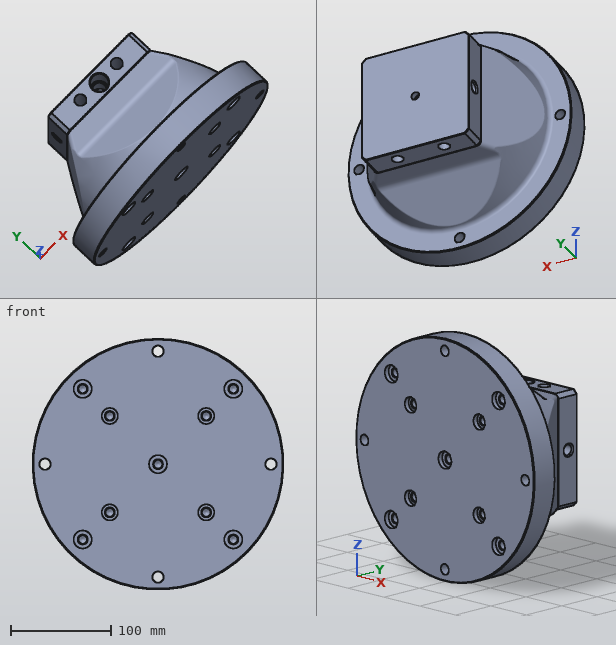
import cadquery as cq
import math

flange_diameter = 250.0
flange_thickness = 30.0
neck_length = 70.0
block_thickness = 27.0
block_width = 120.0

joint_y = flange_thickness + neck_length
back_y = joint_y + block_thickness
half_width = block_width / 2

flange_chamfer = 1.0
block_corner_chamfer = 4.5
block_edge_chamfer = 0.8
neck_corner_radius = 5.0
neck_edge_radius = 2.0
neck_base_radius = 5.0

core_base_radius = 101.0
core_top_radius = 86.2
side_foot_half_width = 104.5
slope_start_y = 75.0
slope_bend_radius = 11.2

through_hole_diameter = 11.0
through_hole_circle_radius = 112.5
tapped_diameter = 8.5
tapped_mouth_diameter = 10.0
tapped_depth = 20.0
counterbore_depth = 5.5
outer_counterbore = 18.0
inner_counterbore = 16.0
outer_offset = 75.0
inner_offset = 48.0
drill_point_angle = 118.0

hole_inset = 12.5
hole_plane_y = back_y - hole_inset
dowel_offset = 26.0
dowel_diameter = 12.0
cross_diameter = 11.0
cross_mouth_diameter = 14.0
port_y = joint_y + block_thickness / 2
port_mouth_diameter = 20.0
port_diameter = 18.0
port_depth = 30.0
port_bore_diameter = 14.0
port_bore_mouth_diameter = 16.0
joint_port_diameter = 10.0
back_port_diameter = 8.5

tolerance = 0.02
select_depth = 7.5


def cylinder(start, direction, diameter, length):
    return cq.Workplane(cq.Solid.makeCylinder(
        diameter / 2, length, cq.Vector(*start), cq.Vector(*direction)))


def cone(start, direction, start_diameter, end_diameter, length):
    return cq.Workplane(cq.Solid.makeCone(
        start_diameter / 2, end_diameter / 2, length, cq.Vector(*start), cq.Vector(*direction)))


def box_around(y, reach):
    """Select edges whose centre lies near the given Y and within reach of the axis in X and Z."""
    limit = reach + tolerance
    return cq.selectors.BoxSelector((-limit, y - select_depth, -limit), (limit, y + select_depth, limit))


def is_on_core_rim(edge):
    """True for an edge where a flat face cuts the tapered core, clear of the core's foot."""
    middle = edge.positionAt(0.5)
    taper = (core_base_radius - core_top_radius) / neck_length
    core_radius = core_base_radius - taper * (middle.y - flange_thickness)
    above_foot = middle.y > flange_thickness + neck_base_radius
    return above_foot and abs(math.hypot(middle.x, middle.z) - core_radius) < tolerance


def is_core_foot(edge):
    """True for the circle where the tapered core meets the flange."""
    at_flange = abs(edge.positionAt(0).y - flange_thickness) < tolerance
    return at_flange and abs(edge.radius() - core_base_radius) < tolerance


def make_neck():
    slope_foot = half_width + slope_start_y
    top_bottom_faces = (
        cq.Workplane("YZ")
        .polyline([
            (joint_y, -half_width),
            (joint_y, half_width),
            (slope_start_y, half_width),
            (0, slope_foot),
            (0, -slope_foot),
            (slope_start_y, -half_width),
        ])
        .close()
        .extrude(flange_diameter / 2, both=True)
        .edges(box_around(slope_start_y, half_width))
        .fillet(slope_bend_radius)
    )
    side_faces = (
        cq.Workplane("XY")
        .polyline([
            (-half_width, joint_y),
            (half_width, joint_y),
            (side_foot_half_width, flange_thickness),
            (-side_foot_half_width, flange_thickness),
        ])
        .close()
        .extrude(flange_diameter, both=True)
    )
    trimmed = top_bottom_faces.intersect(side_faces)
    corner_middle_y = (joint_y + slope_start_y) / 2
    corner_reach = side_foot_half_width
    trimmed = trimmed.edges(box_around(corner_middle_y, corner_reach)).fillet(neck_corner_radius)
    core = cone((0, flange_thickness, 0), (0, 1, 0), 2 * core_base_radius, 2 * core_top_radius, neck_length)
    neck = trimmed.intersect(core)
    return neck.edges().filter(is_on_core_rim).fillet(neck_edge_radius)


def drill_point_length(diameter):
    return diameter / 2 / math.tan(math.radians(drill_point_angle / 2))


def tapped_hole(x, z, counterbore_diameter):
    mouth_chamfer = (tapped_mouth_diameter - tapped_diameter) / 2
    floor_y = counterbore_depth + tapped_depth
    inward = (0, 1, 0)
    recess = cylinder((x, 0, z), inward, counterbore_diameter, counterbore_depth)
    mouth = cone((x, counterbore_depth, z), inward, tapped_mouth_diameter, tapped_diameter, mouth_chamfer)
    bore = cylinder((x, 0, z), inward, tapped_diameter, floor_y)
    point = cone((x, floor_y, z), inward, tapped_diameter, 0, drill_point_length(tapped_diameter))
    return recess.union(mouth).union(bore).union(point)


def make_flange_adapter():
    disc = cylinder((0, 0, 0), (0, 1, 0), flange_diameter, flange_thickness).edges().chamfer(flange_chamfer)
    body = disc.union(make_neck())
    foot_edge = body.edges("%CIRCLE").filter(is_core_foot)
    body = foot_edge.fillet(neck_base_radius)

    for offset, counterbore in ((outer_offset, outer_counterbore), (inner_offset, inner_counterbore)):
        for x in (-offset, offset):
            for z in (-offset, offset):
                body = body.cut(tapped_hole(x, z, counterbore))
    body = body.cut(tapped_hole(0, 0, outer_counterbore))

    for quarter in range(4):
        angle = math.radians(90 * quarter)
        x = through_hole_circle_radius * math.cos(angle)
        z = through_hole_circle_radius * math.sin(angle)
        body = body.cut(cylinder((x, 0, z), (0, 1, 0), through_hole_diameter, flange_thickness))
    return body


def make_block():
    block = (
        cq.Workplane("XY")
        .box(block_width, block_thickness, block_width)
        .translate((0, joint_y + block_thickness / 2, 0))
        .edges("|Y").chamfer(block_corner_chamfer)
        .faces("<Y or >Y").edges().chamfer(block_edge_chamfer)
    )
    for x in (-dowel_offset, dowel_offset):
        block = block.cut(cylinder((x, hole_plane_y, -half_width), (0, 0, 1), dowel_diameter, block_width))

    block = block.cut(cylinder((-half_width, hole_plane_y, 0), (1, 0, 0), cross_diameter, block_width))
    cross_chamfer = (cross_mouth_diameter - cross_diameter) / 2
    for side in (-1, 1):
        block = block.cut(cone(
            (side * half_width, hole_plane_y, 0), (-side, 0, 0),
            cross_mouth_diameter, cross_diameter, cross_chamfer))

    down = (0, 0, -1)
    top = (0, port_y, half_width)
    port_chamfer = (port_mouth_diameter - port_diameter) / 2
    block = block.cut(cone(top, down, port_mouth_diameter, port_diameter, port_chamfer))
    block = block.cut(cylinder(top, down, port_diameter, port_depth))
    block = block.cut(cylinder(top, down, port_bore_diameter, half_width))
    bore_chamfer = (port_bore_mouth_diameter - port_bore_diameter) / 2
    shoulder = (0, port_y, half_width - port_depth)
    block = block.cut(cone(shoulder, down, port_bore_mouth_diameter, port_bore_diameter, bore_chamfer))

    centre = (0, hole_plane_y, 0)
    block = block.cut(cylinder(centre, (0, -1, 0), joint_port_diameter, hole_plane_y - joint_y))
    block = block.cut(cylinder(centre, (0, 1, 0), back_port_diameter, back_y - hole_plane_y))
    return block


flange_adapter = make_flange_adapter()
block = make_block()
result = cq.Compound.makeCompound([flange_adapter.val(), block.val()])